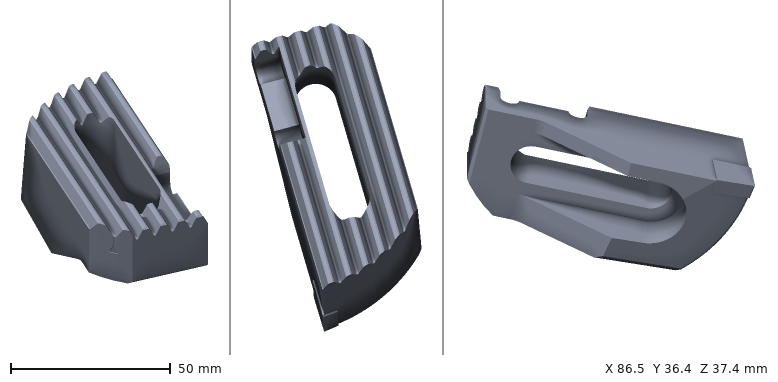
import cadquery as cq
import math


LENGTH = 86.5
WIDTH = 35.86
BOTTOM_Z = -37.0
NECK_Z = -20.5
NECK_START_X = 68.3
RAMP_ANGLE = 30
RAMP_BLEND_RADIUS = 7.0
NECK_END_CHAMFER = 1.0
TIP_END_CHAMFER = 0.5
EXTRA = 20
ARC_OVERRUN = 5

LEAN = 6
STRIP_START = (4.35, 31.6)
GRIP_RADIUS = 46.7
REAR_RADIUS = 44.2
WALL_Z = -2.9

BOTTOM_POINT = (0.5, WIDTH, -35.7)
BOTTOM_SLOPE = 0.11
FRONT_EDGE_CHAMFER = 1.6
GRIP_EDGE_FILLET = 0.75
EDGE_MARGIN = 0.5

TOOTH_COUNT = 6
TOOTH_PITCH = 6.0
TOOTH_ANGLE = 55
TIP_FLAT = 0.9
TIP_CHAMFER_WIDTH = 0.5
TIP_CHAMFER_DROP = 0.2
ROOT_Z = -3.6
ROOT_FLAT = 0.8

SLOT_LEFT_X = 23.1
SLOT_RIGHT_X = 74.6
SLOT_WIDTH = 13.0
SLOT_Y = 20.06
COUNTERBORE_WIDTH = 22.2

POCKET_LEFT_X = 53.75
POCKET_RIGHT_X = 81.7
POCKET_DEPTH_Y = 8.07
POCKET_FLOOR_Z = -10.0
POCKET_GROOVE_RADIUS = 3.02
POCKET_MOUTH_FLARE = 1.6
POCKET_MOUTH_ANGLE = 15

POINTER_X = 82.4
POINTER_LINE_WIDTH = 0.25
POINTER_HEAD_TOP_Z = -7.2
POINTER_HEAD_BOTTOM_Z = -9.9
POINTER_HEAD_WIDTH = 2.3
POINTER_DEPTH = 0.2

INSERT_BACK_STAND_OUT = 0.5
INSERT_END_STAND_OUT = 0.39
INSERT_BOTTOM_STAND_OUT = 0.36
INSERT_TOP_Z = -23.6
INSERT_RIGHT_X = 13.6
INSERT_BEVEL = 0.5

lean = math.radians(LEAN)
ramp_angle = math.radians(RAMP_ANGLE)
arc_center_x = STRIP_START[0] + GRIP_RADIUS * math.cos(lean)
arc_center_y = STRIP_START[1] + GRIP_RADIUS * math.sin(lean)
strip_normal = cq.Vector(-math.cos(lean) ** 2, -math.sin(lean) * math.cos(lean), math.sin(lean))
bottom_normal = cq.Vector(-BOTTOM_SLOPE, -BOTTOM_SLOPE, -1).normalized()


def beyond_plane(point, normal):
    """Large block filling the side of a plane that its normal points to."""
    side = 4 * LENGTH
    return cq.Workplane(cq.Plane(origin=point, normal=normal)).rect(side, side).extrude(side)


def arc_x(radius, y, side):
    """X of the plan arc of this radius at y; side is -1 for the gripping end, 1 for the rear."""
    return arc_center_x + side * math.sqrt(radius ** 2 - (y - arc_center_y) ** 2)


def side_profile():
    """Block seen from the front: ramp, blended thin end and chamfered corners."""
    ramp_foot_x = NECK_START_X - (NECK_Z - BOTTOM_Z) / math.tan(ramp_angle)
    block = (
        cq.Workplane("XZ")
        .moveTo(-EXTRA, 0)
        .lineTo(LENGTH, 0)
        .lineTo(LENGTH, NECK_Z)
        .lineTo(NECK_START_X, NECK_Z)
        .lineTo(ramp_foot_x, BOTTOM_Z)
        .lineTo(-EXTRA, BOTTOM_Z)
        .close()
        .extrude(-WIDTH)
    )
    ramp_top = cq.selectors.NearestToPointSelector((NECK_START_X, WIDTH / 2, NECK_Z))
    block = block.edges(ramp_top).fillet(RAMP_BLEND_RADIUS)
    block = block.faces(">X").edges("<Z").chamfer(NECK_END_CHAMFER)
    return block.faces(">X").edges(">Z").chamfer(TIP_END_CHAMFER)


def grip_outline():
    """Plan outline whose left side is the gripping arc and the flat strip tangent to it."""
    strip_x, strip_y = STRIP_START
    far_y = WIDTH + EXTRA
    near_y = -ARC_OVERRUN
    mid_y = (strip_y + near_y) / 2
    return (
        cq.Workplane("XY", origin=(0, 0, WALL_Z))
        .moveTo(LENGTH + EXTRA, near_y)
        .lineTo(LENGTH + EXTRA, far_y)
        .lineTo(strip_x - (far_y - strip_y) * math.tan(lean), far_y)
        .lineTo(strip_x, strip_y)
        .threePointArc(
            (arc_x(GRIP_RADIUS, mid_y, -1), mid_y),
            (arc_x(GRIP_RADIUS, near_y, -1), near_y),
        )
        .close()
    )


def grip_envelope():
    """Upright around the teeth, flaring outward towards the bottom."""
    upright = grip_outline().extrude(-WALL_Z)
    flared = grip_outline().extrude(BOTTOM_Z - WALL_Z, taper=-LEAN)
    return upright.union(flared)


def rear_envelope():
    """Everything inside the arc that rounds off the front rear corner."""
    corner_y = arc_center_y - math.sqrt(REAR_RADIUS ** 2 - (LENGTH - arc_center_x) ** 2)
    mid_y = corner_y / 2
    return (
        cq.Workplane("XY", origin=(0, 0, BOTTOM_Z))
        .moveTo(-EXTRA, 0)
        .lineTo(arc_x(REAR_RADIUS, 0, 1), 0)
        .threePointArc((arc_x(REAR_RADIUS, mid_y, 1), mid_y), (LENGTH, corner_y))
        .lineTo(LENGTH, WIDTH)
        .lineTo(-EXTRA, WIDTH)
        .close()
        .extrude(-BOTTOM_Z)
    )


def tooth_gaps():
    """Rounded V grooves between the teeth, with chamfered tips."""
    half_flat = TIP_FLAT / 2
    shoulder = half_flat + TIP_CHAMFER_WIDTH
    half_root = ROOT_FLAT / 2
    flank_end_z = -TIP_CHAMFER_DROP - (TOOTH_PITCH / 2 - shoulder - half_root) / math.tan(
        math.radians(TOOTH_ANGLE / 2)
    )
    first_gap_y = (WIDTH - TOOTH_COUNT * TOOTH_PITCH) / 2
    gaps = cq.Workplane("YZ")
    for index in range(TOOTH_COUNT + 1):
        gap_y = first_gap_y + index * TOOTH_PITCH
        left_tip = gap_y - TOOTH_PITCH / 2
        right_tip = gap_y + TOOTH_PITCH / 2
        gap = (
            cq.Workplane("YZ", origin=(-EXTRA, 0, 0))
            .moveTo(left_tip + half_flat, 0)
            .lineTo(left_tip + shoulder, -TIP_CHAMFER_DROP)
            .lineTo(gap_y - half_root, flank_end_z)
            .threePointArc((gap_y, ROOT_Z), (gap_y + half_root, flank_end_z))
            .lineTo(right_tip - shoulder, -TIP_CHAMFER_DROP)
            .lineTo(right_tip - half_flat, 0)
            .close()
            .extrude(LENGTH + 2 * EXTRA)
        )
        gaps = gaps.add(gap)
    return gaps.combine()


def bolt_slot():
    """Through slot with a wider counterbore below the level of the thin end."""
    middle_x = (SLOT_LEFT_X + SLOT_RIGHT_X) / 2
    center_distance = SLOT_RIGHT_X - SLOT_LEFT_X - SLOT_WIDTH
    top = cq.Workplane("XY").center(middle_x, SLOT_Y)
    slot = top.slot2D(center_distance + SLOT_WIDTH, SLOT_WIDTH).extrude(BOTTOM_Z)
    counterbore = (
        top.workplane(offset=NECK_Z)
        .slot2D(center_distance + COUNTERBORE_WIDTH, COUNTERBORE_WIDTH)
        .extrude(BOTTOM_Z - NECK_Z)
    )
    return slot.union(counterbore)


def back_pocket():
    """Pocket open to the top and back, with a flared mouth and a groove along each side."""
    flare_depth = POCKET_MOUTH_FLARE / math.tan(math.radians(POCKET_MOUTH_ANGLE))
    left_groove_end = POCKET_LEFT_X + 2 * POCKET_GROOVE_RADIUS
    right_groove_end = POCKET_RIGHT_X - 2 * POCKET_GROOVE_RADIUS
    groove_z = POCKET_FLOOR_Z - POCKET_GROOVE_RADIUS
    return (
        cq.Workplane("XZ", origin=(0, WIDTH - POCKET_DEPTH_Y, 0))
        .moveTo(POCKET_LEFT_X - POCKET_MOUTH_FLARE, 0)
        .lineTo(POCKET_LEFT_X, -flare_depth)
        .lineTo(POCKET_LEFT_X, POCKET_FLOOR_Z)
        .threePointArc(
            (POCKET_LEFT_X + POCKET_GROOVE_RADIUS, groove_z), (left_groove_end, POCKET_FLOOR_Z)
        )
        .lineTo(right_groove_end, POCKET_FLOOR_Z)
        .threePointArc(
            (POCKET_RIGHT_X - POCKET_GROOVE_RADIUS, groove_z), (POCKET_RIGHT_X, POCKET_FLOOR_Z)
        )
        .lineTo(POCKET_RIGHT_X, -flare_depth)
        .lineTo(POCKET_RIGHT_X + POCKET_MOUTH_FLARE, 0)
        .close()
        .extrude(-POCKET_DEPTH_Y)
    )


def pointer_mark():
    """Shallow pointer: a thin line down from a tooth root, ending in a triangle."""
    half_line = POINTER_LINE_WIDTH / 2
    half_head = POINTER_HEAD_WIDTH / 2
    mark = (
        cq.Workplane("XZ")
        .moveTo(POINTER_X - half_line, 0)
        .lineTo(POINTER_X + half_line, 0)
        .lineTo(POINTER_X + half_line, POINTER_HEAD_TOP_Z)
        .lineTo(POINTER_X + half_head, POINTER_HEAD_BOTTOM_Z)
        .lineTo(POINTER_X - half_head, POINTER_HEAD_BOTTOM_Z)
        .lineTo(POINTER_X - half_line, POINTER_HEAD_TOP_Z)
        .close()
        .extrude(-WIDTH / 2)
    )
    uncut_core = (
        cq.Workplane("XY")
        .center(arc_center_x, arc_center_y)
        .circle(REAR_RADIUS - POINTER_DEPTH)
        .extrude(BOTTOM_Z)
    )
    return mark.cut(uncut_core)


def front_bottom_chamfer():
    """Wedge that bevels the edge between the front face and the tilted bottom."""
    edge_z = BOTTOM_POINT[2] + BOTTOM_SLOPE * (WIDTH + BOTTOM_POINT[0])
    normal = cq.Vector(-BOTTOM_SLOPE, -1, -1)
    return beyond_plane((0, 0, edge_z + FRONT_EDGE_CHAMFER), normal)


def grip_bottom_zone():
    """Box around the middles of the edges between the gripping end and the tilted bottom."""
    front_edge_z = BOTTOM_POINT[2] + BOTTOM_SLOPE * WIDTH
    return cq.selectors.BoxSelector(
        (-EXTRA, EDGE_MARGIN, BOTTOM_Z + EDGE_MARGIN),
        (SLOT_LEFT_X, WIDTH - EDGE_MARGIN, front_edge_z),
    )


def make_jaw(insert):
    jaw = side_profile().intersect(grip_envelope()).intersect(rear_envelope())
    jaw = jaw.cut(beyond_plane(BOTTOM_POINT, bottom_normal))
    jaw = jaw.edges(grip_bottom_zone()).fillet(GRIP_EDGE_FILLET)
    jaw = jaw.cut(front_bottom_chamfer())
    jaw = jaw.cut(tooth_gaps())
    jaw = jaw.cut(bolt_slot())
    jaw = jaw.cut(back_pocket())
    jaw = jaw.cut(pointer_mark())
    return jaw.cut(insert)


def make_insert():
    """Corner block whose end, back and bottom stand slightly proud of the jaw."""
    strip_point = cq.Vector(STRIP_START[0], STRIP_START[1], WALL_Z)
    end_face_point = strip_point + strip_normal * INSERT_END_STAND_OUT
    bottom_face_point = cq.Vector(BOTTOM_POINT) + bottom_normal * INSERT_BOTTOM_STAND_OUT
    right_end_normal = cq.Vector(math.cos(lean), 0, -math.sin(lean))
    insert = (
        cq.Workplane("XY", origin=(-EXTRA, STRIP_START[1], INSERT_TOP_Z))
        .rect(LENGTH, WIDTH + INSERT_BACK_STAND_OUT - STRIP_START[1], centered=False)
        .extrude(BOTTOM_Z)
    )
    insert = insert.cut(beyond_plane(end_face_point, strip_normal))
    insert = insert.cut(beyond_plane(bottom_face_point, bottom_normal))
    insert = insert.cut(beyond_plane((INSERT_RIGHT_X, 0, INSERT_TOP_Z), right_end_normal))
    insert = insert.faces(">Z").edges("<X").chamfer(INSERT_BEVEL)
    return insert.faces("<X").edges("<Z").fillet(INSERT_BEVEL)


insert = make_insert()
jaw = make_jaw(insert)

result = cq.Compound.makeCompound([jaw.solids().val(), insert.solids().val()])